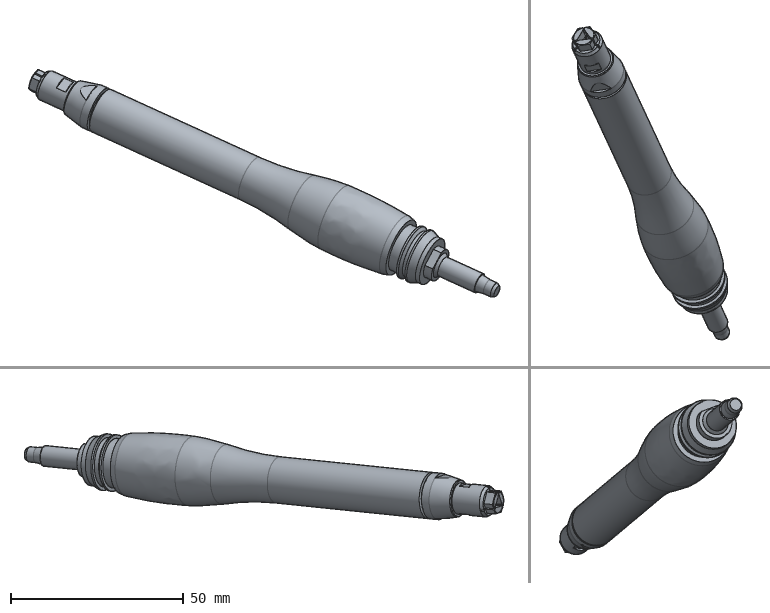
import cadquery as cq
import math

total_length = 155.8

tip_across_flats = 6.2
tip_face_dia = 6.0
tip_face_step = 0.2
tip_length = 3.0
nose_dia = 9.2
nose_start_dia = 8.1
nose_chamfer_end = 3.9

cone_start = 13.0
cone_rim_dia = 10.5
cone_rim_length = 0.3
cone_start_dia = 10.9
cone_end = 19.3
groove_start = 21.8
groove_end = 22.6
groove_dia = 11.0

body_dia = 13.5
bulb_start = 72.8
bulb_joint = 90.5
bulb_joint_dia = 17.5
bulb_crown = 101.5
bulb_crown_dia = 20.3
bulb_end = 121.7
bulb_end_dia = 18.5
bulb_rim_x = 123.5
bulb_rim_dia = 17.5

coupling_dia = 14.5
ring_dia = 16.5
ring_width = 0.6
front_ring_start = 126.8
front_ring_taper = 0.8
rear_ring_start = 129.6
rear_ring_taper = 2.3
coupling_end = 134.0
boss_dia = 10.0
boss_end = 136.6
boss_taper_dia = 7.8
boss_taper_end = 137.6

rod_dia = 6.0
rod_end = 149.9
step_dia = 5.3
tail_dia = 4.5
tail_start = 152.5
tail_chamfer_start = 154.9
tail_end_dia = 3.5

nose_flat_start = 8.7
nose_flat_end = 11.8
nose_across_flats = 8.1
cone_across_flats = 12.0
boss_flat_distance = 4.2
flat_sides = (90, 270)
boss_flat_angle = 114.5

slot_width = 0.5
slot_length = 3.7
slot_count = 3
bore_dia = 1.2
bore_depth = 6.2
mouth_inradius = 1.2
mouth_corner_dia = 4 * mouth_inradius


def make_body():
    """Revolve the whole stepped outline around the X axis."""
    outline = (
        cq.Workplane("XY")
        .moveTo(tip_length, 0)
        .lineTo(tip_length, nose_start_dia / 2)
        .lineTo(nose_chamfer_end, nose_dia / 2)
        .lineTo(cone_start, nose_dia / 2)
        .lineTo(cone_start, cone_rim_dia / 2)
        .lineTo(cone_start + cone_rim_length, cone_start_dia / 2)
        .lineTo(cone_end, body_dia / 2)
        .lineTo(groove_start, body_dia / 2)
        .lineTo(groove_start, groove_dia / 2)
        .lineTo(groove_end, groove_dia / 2)
        .lineTo(groove_end, body_dia / 2)
        .lineTo(bulb_start, body_dia / 2)
        .tangentArcPoint((bulb_joint, bulb_joint_dia / 2), relative=False)
        .tangentArcPoint((bulb_crown, bulb_crown_dia / 2), relative=False)
        .tangentArcPoint((bulb_end, bulb_end_dia / 2), relative=False)
        .lineTo(bulb_rim_x, bulb_rim_dia / 2)
        .lineTo(bulb_rim_x, coupling_dia / 2)
    )
    for start, taper in (
        (front_ring_start, front_ring_taper),
        (rear_ring_start, rear_ring_taper),
    ):
        outline = (
            outline.lineTo(start, coupling_dia / 2)
            .lineTo(start, ring_dia / 2)
            .lineTo(start + ring_width, ring_dia / 2)
            .lineTo(start + ring_width + taper, coupling_dia / 2)
        )
    outline = (
        outline.lineTo(coupling_end, coupling_dia / 2)
        .lineTo(coupling_end, boss_dia / 2)
        .lineTo(boss_end, boss_dia / 2)
        .lineTo(boss_end, boss_taper_dia / 2)
        .lineTo(boss_taper_end, rod_dia / 2)
        .lineTo(rod_end, rod_dia / 2)
        .lineTo(rod_end, step_dia / 2)
        .lineTo(tail_start, tail_dia / 2)
        .lineTo(tail_chamfer_start, tail_dia / 2)
        .lineTo(total_length, tail_end_dia / 2)
        .lineTo(total_length, 0)
        .close()
    )
    return outline.revolve(360, (0, 0, 0), (1, 0, 0))


def block_beyond(start, end, distance, angle):
    """Block from x = start to end, lying beyond a plane at the given distance from the axis."""
    size = bulb_crown_dia
    block = cq.Workplane("XY").box(end - start, size, size, centered=(False, True, False))
    return block.translate((start, 0, distance)).rotate((0, 0, 0), (1, 0, 0), angle - 90)


def make_tip():
    """Hexagonal tip with two corners level with the axis, and a low round face in front."""
    across_corners = tip_across_flats / math.cos(math.pi / 6)
    face = cq.Workplane("YZ").circle(tip_face_dia / 2).extrude(tip_length)
    hexagon = (
        cq.Workplane("YZ", origin=(tip_face_step, 0, 0))
        .polygon(6, across_corners).extrude(tip_length - tip_face_step)
    )
    return face.union(hexagon)


def make_mouth():
    """Triangular mouth, round bore and three radial slots that divide the tip."""
    mouth = (
        cq.Workplane("YZ").transformed(rotate=(0, 0, 90))
        .polygon(3, mouth_corner_dia).extrude(tip_length)
    )
    mouth = mouth.union(cq.Workplane("YZ").circle(bore_dia / 2).extrude(bore_depth))
    slot = cq.Workplane("XY").box(
        slot_length, slot_width, nose_dia / 2, centered=(False, True, False)
    )
    for i in range(slot_count):
        mouth = mouth.union(slot.rotate((0, 0, 0), (1, 0, 0), i * 360 / slot_count))
    return mouth


result = make_body().union(make_tip()).cut(make_mouth())

for angle in flat_sides:
    result = result.cut(block_beyond(nose_flat_start, nose_flat_end, nose_across_flats / 2, angle))
    result = result.cut(block_beyond(cone_start, cone_end, cone_across_flats / 2, angle))
result = result.cut(block_beyond(coupling_end, boss_end, boss_flat_distance, boss_flat_angle))